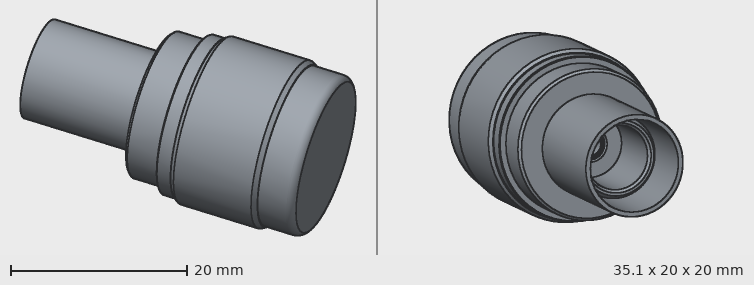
import cadquery as cq
import math


overall_length = 35.1
ferrule_length = 14.0
collar_end = 18.18
band_start = 19.97
band_end = 30.65
stem_start = 5.35

ferrule_radius = 5.9
ferrule_wall = 0.55

stem_radius = 4.8
stem_tip_radius = 4.4
stem_taper_length = 0.8
stem_bore_radius = 3.72
stem_mouth_bevel = 0.3

collar_radius = 8.75
collar_bevel = 0.3
nut_radius = 9.55
nut_rear_bevel = 0.1
band_radius = 10.0
band_step = 0.1
band_rear_bevel_length = 0.53
band_front_bevel_length = 0.63
nut_front_length = 0.95
nut_front_radius = 8.95

pin_radius = 1.65
pin_length = 10.53
pin_bevel = 0.2
solder_bore_radius = 1.23
solder_bore_bevel = 0.1
solder_bore_depth = 3.5
drill_point_angle = 118.0
pin_hole_mouth_radius = 1.95
pin_hole_bevel = 0.2
pin_ledge = ferrule_length + pin_hole_bevel
pin_start = pin_ledge - pin_bevel
pin_end = pin_start + pin_length


def cylinder(start, end, radius):
    """Solid cylinder on the X axis between two stations."""
    return cq.Workplane("YZ", origin=(start, 0, 0)).circle(radius).extrude(end - start)


def spin(profile):
    """Full revolution of a closed XZ profile about the X axis."""
    return profile.revolve(360, (0, 0, 0), (1, 0, 0))


def turned(points):
    """Solid of revolution about the X axis from (x, radius) points."""
    return spin(cq.Workplane("XZ").polyline(points).close())


def make_ferrule():
    """Plain thin tube around the stem."""
    outside = cylinder(0, ferrule_length, ferrule_radius)
    return outside.cut(cylinder(0, ferrule_length, ferrule_radius - ferrule_wall))


def make_stem():
    """Tube with a tapered outside and a bevelled mouth."""
    return turned([
        (stem_start, stem_tip_radius),
        (stem_start + stem_taper_length, stem_radius),
        (ferrule_length, stem_radius),
        (ferrule_length, stem_bore_radius),
        (stem_start + stem_mouth_bevel, stem_bore_radius),
        (stem_start, stem_bore_radius + stem_mouth_bevel),
    ])


def make_collar():
    return cylinder(ferrule_length, collar_end, collar_radius).faces("<X").chamfer(collar_bevel)


def make_nut():
    """Plain cylinder with a small rear bevel and a front edge rounded tangent to its side."""
    profile = (
        cq.Workplane("XZ")
        .moveTo(collar_end, 0)
        .lineTo(collar_end, nut_radius - nut_rear_bevel)
        .lineTo(collar_end + nut_rear_bevel, nut_radius)
        .lineTo(overall_length - nut_front_length, nut_radius)
        .tangentArcPoint((overall_length, nut_front_radius), relative=False)
        .lineTo(overall_length, 0)
        .close()
    )
    return spin(profile)


def make_band():
    return turned([
        (band_start, 0),
        (band_start, nut_radius + band_step),
        (band_start + band_rear_bevel_length, band_radius),
        (band_end - band_front_bevel_length, band_radius),
        (band_end, nut_radius + band_step),
        (band_end, 0),
    ])


def make_pin_hole():
    """Blind hole filled by the pin, countersunk at the floor of the stem bore."""
    return turned([
        (ferrule_length, 0),
        (ferrule_length, pin_hole_mouth_radius),
        (pin_ledge, pin_hole_mouth_radius - pin_hole_bevel),
        (pin_ledge, pin_radius),
        (pin_end, pin_radius),
        (pin_end, 0),
    ])


def make_body():
    """Collar, stem, nut and grip band as one piece, with the hole for the pin."""
    body = make_collar().union(make_stem()).union(make_nut()).union(make_band())
    return body.cut(make_pin_hole())


def make_pin():
    """Bevelled pin with a drilled solder bore ending in a cone."""
    cone_start = pin_start + solder_bore_depth
    cone_length = solder_bore_radius / math.tan(math.radians(drill_point_angle / 2))
    return turned([
        (cone_start + cone_length, 0),
        (cone_start, solder_bore_radius),
        (pin_start + solder_bore_bevel, solder_bore_radius),
        (pin_start, solder_bore_radius + solder_bore_bevel),
        (pin_start, pin_radius - pin_bevel),
        (pin_start + pin_bevel, pin_radius),
        (pin_end, pin_radius),
        (pin_end, 0),
    ])


ferrule = make_ferrule()
body = make_body()
pin = make_pin()

result = cq.Compound.makeCompound([ferrule.val(), body.val(), pin.val()])